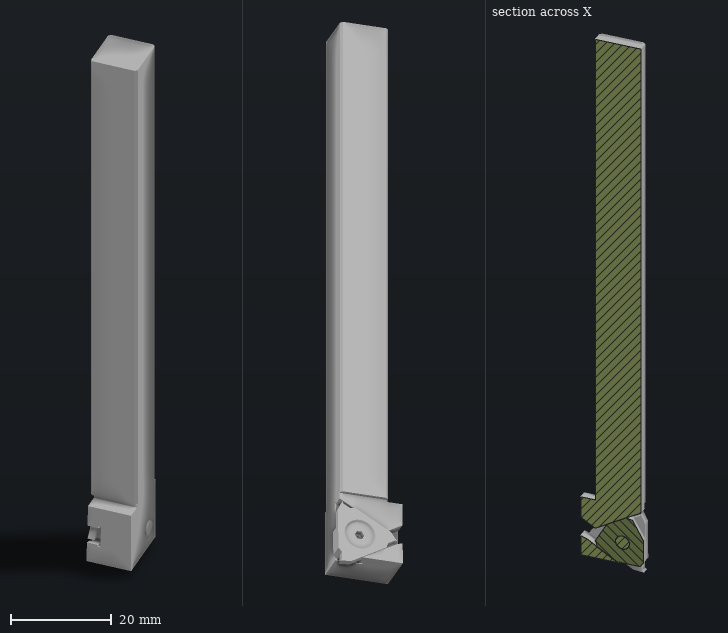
import cadquery as cq
import math

total_length = 120.0

shank_width = 10.0
shank_chamfer = 0.5
shank_bottom = 15.5

head_top = 15.0
head_bottom = 1.7
head_min_y = -13.1

tilt = math.radians(1.5)
face_center = cq.Vector(0.18, -4.1, 6.6)
face_normal = cq.Vector(-math.cos(tilt), 0, math.sin(tilt))
stand_off = 0.4

insert_thickness = 3.2
tooth_width = 1.5

corner_count = 3
side_distance = 4.6
rake_start = 3.7
rake_full = 4.6
rake_distance = 3.8
lip_drop = 6.2
tip_distance = 4.2
tip_drop = (face_center.z - tooth_width * math.sin(tilt)) / math.cos(tilt)
heel_drop = 6.4
setback_distance = 4.7

mouth_x = 5.9
throat_x = 7.6
pocket_reach = 10.8
mouth_sill_rise = 1.2
undercut_width = 0.6
undercut_growth = 0.4

screw_head_radius = 2.9
screw_recess = 0.4
screw_head_height = 1.6
screw_shaft_radius = 1.6
screw_protrusion = 0.4
socket_sides = 6
socket_radius = 1.0
socket_depth = 1.2
socket_pilot_radius = 0.4
socket_pilot_depth = 1.5


def face_plane(depth):
    """Plane below the insert face: local x toward -Y, local y upward."""
    return cq.Plane(origin=face_center - face_normal * depth, xDir=(0, -1, 0), normal=face_normal)


def prism(points, depth, height):
    return cq.Workplane(face_plane(depth)).polyline(points).close().extrude(-height)


def disc(radius, depth, height):
    return cq.Workplane(face_plane(depth)).circle(radius).extrude(-height)


def turned(point, corner):
    """Local point at the lower cutting corner, turned to another corner."""
    angle = 2 * math.pi * corner / corner_count
    x, y = point
    return (x * math.cos(angle) - y * math.sin(angle), x * math.sin(angle) + y * math.cos(angle))


def at_corners(points):
    return [turned(point, corner) for corner in range(corner_count) for point in points]


def make_screw():
    """Screw head and shaft; the shaft ends just beyond the +X face of the head."""
    shaft_end = (shank_width + screw_protrusion - face_center.x) / math.cos(tilt)
    shaft_end -= screw_shaft_radius * math.tan(tilt)
    head = disc(screw_head_radius, screw_recess, screw_head_height)
    return head.union(disc(screw_shaft_radius, screw_recess, shaft_end - screw_recess))


def make_insert(screw):
    heel_x = 2 * side_distance - math.sqrt(3) * heel_drop
    outline = at_corners([
        (-side_distance, -rake_start),
        (-rake_distance, -rake_full),
        (-rake_distance, -lip_drop),
        (-tip_distance, -tip_drop),
        (heel_x, -heel_drop),
    ])
    insert = prism(outline, 0, insert_thickness)

    reach = 2 * side_distance
    cut_box = [(-reach, -setback_distance), (reach, -setback_distance), (reach, -reach), (-reach, -reach)]
    for corner in range(corner_count):
        cut_corner = [turned(point, corner) for point in cut_box]
        insert = insert.cut(prism(cut_corner, tooth_width, insert_thickness))

    rim = cq.Workplane(face_plane(screw_recess)).circle(screw_head_radius)
    rim = rim.workplane(offset=screw_recess).circle(screw_head_radius + screw_recess).loft()
    return insert.cut(screw).cut(rim)


def pocket_outline(wall_distance):
    """Wedge between two seating walls, open toward +Y and downward, with a mouth toward -Y."""
    wall_angle = math.pi / corner_count / 2

    def upper_wall_y(x):
        return (wall_distance - x * math.sin(wall_angle)) / math.cos(wall_angle)

    mouth_top = upper_wall_y(mouth_x) + (pocket_reach - mouth_x) * math.tan(wall_angle)
    return [
        (-pocket_reach, upper_wall_y(-pocket_reach)),
        (mouth_x, upper_wall_y(mouth_x)),
        (pocket_reach, mouth_top),
        (pocket_reach, mouth_sill_rise - upper_wall_y(throat_x)),
        (throat_x, -upper_wall_y(throat_x)),
        (-pocket_reach, -upper_wall_y(-pocket_reach)),
    ]


def block(depth_y, bottom, top):
    """Block as wide as the shank, from Y = 0 to depth_y."""
    base = cq.Workplane("XY", origin=(0, 0, bottom)).rect(shank_width, depth_y, centered=False)
    return base.extrude(top - bottom)


def make_shank():
    shank = block(-shank_width, shank_bottom, total_length)
    return shank.edges("|Z").chamfer(shank_chamfer)


def make_head():
    """Block below the shank with a slanted -X face."""
    neck = block(-shank_width, head_bottom, shank_bottom)
    nose = block(head_min_y, head_bottom, head_top)
    head = neck.union(nose)
    cutter_size = 3 * shank_width
    outside = cq.Workplane(face_plane(stand_off)).rect(cutter_size, cutter_size).extrude(shank_width)
    return head.cut(outside)


def make_holder(screw):
    """Shank, head and clamping screw as one solid, with the insert pocket."""
    head = make_head()
    head = head.cut(prism(pocket_outline(side_distance), 0, insert_thickness))
    undercut = prism(
        pocket_outline(side_distance + undercut_growth), insert_thickness - undercut_width, undercut_width
    )
    head = head.cut(undercut)
    socket = cq.Workplane(face_plane(screw_recess)).polygon(socket_sides, 2 * socket_radius)
    socket = socket.extrude(-socket_depth)
    socket = socket.union(disc(socket_pilot_radius, screw_recess, socket_pilot_depth))
    return make_shank().union(head).union(screw.cut(socket))


screw = make_screw()
holder = make_holder(screw)
insert = make_insert(screw)

result = cq.Compound.makeCompound([holder.solids().val(), insert.solids().val()])